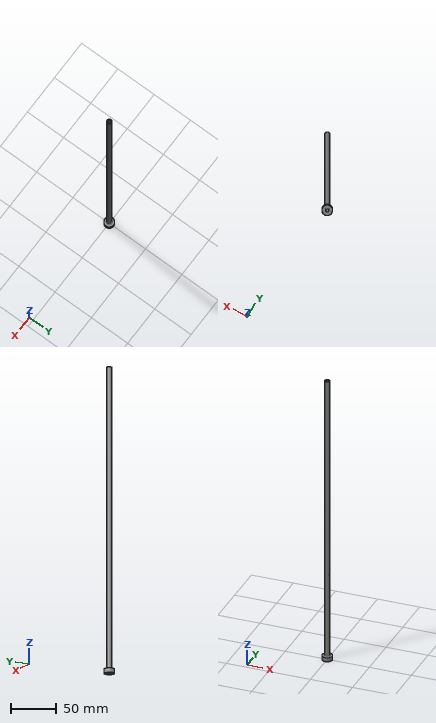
import cadquery as cq

overall_length = 350.0
head_diameter = 12.0
head_height = 5.0
shaft_diameter = 6.0
bore_diameter = 3.5
root_fillet_radius = 0.5

head_radius = head_diameter / 2
shaft_radius = shaft_diameter / 2
bore_radius = bore_diameter / 2


def make_sleeve():
    """Revolve the wall section: through bore, head, root fillet and shaft."""
    wall_section = (
        cq.Workplane("XZ")
        .moveTo(bore_radius, 0)
        .lineTo(head_radius, 0)
        .lineTo(head_radius, head_height)
        .lineTo(shaft_radius + root_fillet_radius, head_height)
        .radiusArc((shaft_radius, head_height + root_fillet_radius), root_fillet_radius)
        .lineTo(shaft_radius, overall_length)
        .lineTo(bore_radius, overall_length)
        .close()
    )
    return wall_section.revolve(360, (0, 0, 0), (0, 1, 0))


result = make_sleeve()